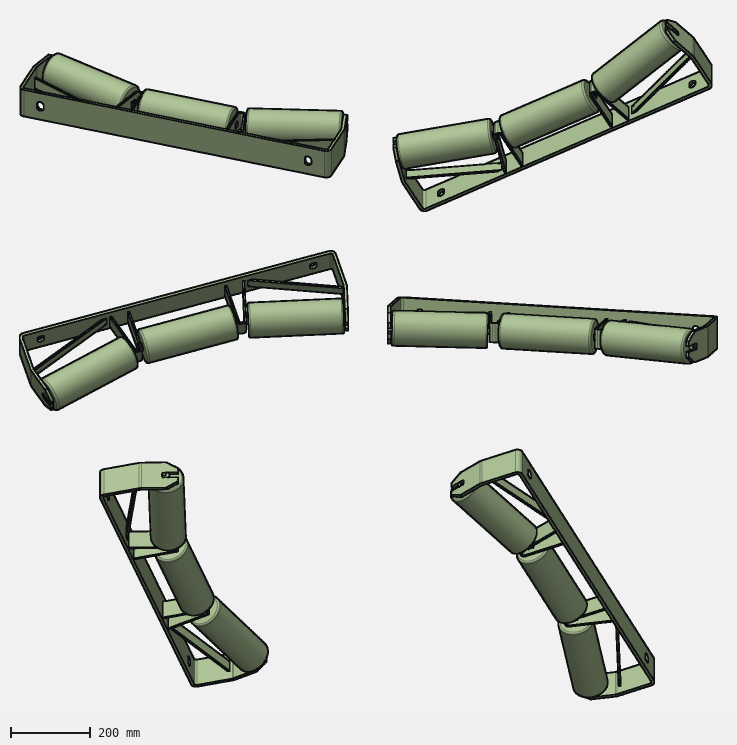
import cadquery as cq
import math


frame_length = 830.0
frame_width = 80.0
frame_thickness = 8.0
frame_corner_radius = 6.0
arm_bend_y = 108.5
arm_bend_radius = 14.0
arm_tip_y = 201.0
tip_chamfer_along = 30.0
tip_chamfer_across = 20.0
mount_slot_x = 357.5
mount_slot_width = 18.0
mount_slot_length = 26.0

trough_angle = 15.0
roller_radius = 44.5
roller_length = 240.0
roller_edge_radius = 5.0
center_roller_y = 100.0
wing_roller_x = 272.0
wing_roller_y = 137.0
center_drop = 7.0
axle_radius = 10.0
axle_flat_width = 15.0

bracket_thickness = 5.0
bracket_bend_radius = 3.0
bracket_top_y = 125.0
bracket_gap = 5.0
bracket_width = 50.0

strut_thickness = 5.0
strut_width = 30.0
strut_angle = 22.5
strut_arm_y = 100.0

half_length = frame_length / 2
half_width = frame_width / 2
trough_cos = math.cos(math.radians(trough_angle))
trough_sin = math.sin(math.radians(trough_angle))
trough_tan = math.tan(math.radians(trough_angle))
arm_tip_x = half_length - (arm_tip_y - arm_bend_y) * trough_tan
leg_distance = roller_length / 2 + bracket_gap
inner_axle_end = leg_distance + bracket_thickness
outer_axle_end = (half_length - wing_roller_x) * trough_cos + (arm_bend_y - wing_roller_y) * trough_sin
wing_tilt = math.degrees(math.asin(center_drop / (inner_axle_end + outer_axle_end)))
wing_roller_z = -center_drop * outer_axle_end / (inner_axle_end + outer_axle_end)


def unit(start, end):
    length = math.dist(start, end)
    return (end[0] - start[0]) / length, (end[1] - start[1]) / length


def folded_strip(path, radii, thickness, width):
    """Bend a flat strip along path, its outer face; the material lies to the left of the path."""
    directions = [unit(a, b) for a, b in zip(path, path[1:])]
    befores = directions[:1] + directions
    afters = directions + directions[-1:]
    inner_path = []
    for (x, y), before, after in zip(path, befores, afters):
        reach = thickness / (1 + before[0] * after[0] + before[1] * after[1])
        inner_path.append((x - (before[1] + after[1]) * reach, y + (before[0] + after[0]) * reach))
    strip = cq.Workplane("XY").polyline(path + inner_path[::-1]).close().extrude(width / 2, both=True)
    for outer, inner, radius in zip(path[1:-1], inner_path[1:-1], radii):
        strip = strip.edges(cq.NearestToPointSelector((*outer, 0))).fillet(radius + thickness)
        strip = strip.edges(cq.NearestToPointSelector((*inner, 0))).fillet(radius)
    return strip


def mirrored(body):
    return body.mirror("YZ")


def place_wing(body):
    """Move a body built on the X axis to the axis of the -X roller."""
    tilted = body.rotate((0, 0, 0), (0, 1, 0), wing_tilt)
    turned = tilted.rotate((0, 0, 0), (0, 0, 1), -trough_angle)
    return turned.translate((-wing_roller_x, wing_roller_y, wing_roller_z))


def place_center(body):
    return body.translate((0, center_roller_y, -center_drop))


def make_axle(start, end):
    """Round axle along X with two flats."""
    rod = cq.Workplane("YZ").workplane(offset=start).circle(axle_radius).extrude(end - start)
    flats = cq.Workplane("XY").box(2 * (end - start), 2 * axle_radius, axle_flat_width)
    return rod.intersect(flats)


def make_roller(start, end):
    shell = cq.Workplane("YZ").workplane(offset=-roller_length / 2)
    shell = shell.circle(roller_radius).extrude(roller_length)
    shell = shell.edges().fillet(roller_edge_radius)
    return shell.union(make_axle(start, end))


wing_axle = place_wing(make_axle(-outer_axle_end, inner_axle_end))
center_axle = place_center(make_axle(-inner_axle_end, inner_axle_end))


def make_arm_slot():
    """Open slot that lets the outer end of the -X axle drop into the arm."""
    slot_length = 4 * frame_thickness
    slot = cq.Workplane("XY").box(slot_length, arm_tip_y, axle_flat_width, centered=(True, False, True))
    slot = slot.translate((-outer_axle_end, 0, 0))
    return place_wing(slot)


def make_tip_chamfers():
    """Two wedges that taper the tip of the -X arm, as a YZ profile cut along X."""
    run = tip_chamfer_along * trough_cos
    corner = [
        (arm_tip_y - run, half_width),
        (arm_tip_y + run, half_width - 2 * tip_chamfer_across),
        (arm_tip_y + run, half_width),
    ]
    wedge = cq.Workplane("YZ").polyline(corner).close().extrude(-half_length)
    return wedge.union(wedge.mirror("XY"))


def make_frame():
    path = [
        (-arm_tip_x, arm_tip_y),
        (-half_length, arm_bend_y),
        (-half_length, 0),
        (half_length, 0),
        (half_length, arm_bend_y),
        (arm_tip_x, arm_tip_y),
    ]
    radii = [arm_bend_radius, frame_corner_radius, frame_corner_radius, arm_bend_radius]
    frame = folded_strip(path, radii, frame_thickness, frame_width)
    arm_cut = make_tip_chamfers().union(make_arm_slot()).union(wing_axle)
    frame = frame.cut(arm_cut).cut(mirrored(arm_cut))
    mount_slots = (
        cq.Workplane("XZ")
        .pushPoints([(-mount_slot_x, 0), (mount_slot_x, 0)])
        .slot2D(mount_slot_length, mount_slot_width, 90)
        .extrude(-frame_thickness)
    )
    return frame.cut(mount_slots)


def make_bracket():
    """Bracket on the -X side, level with the center axle: an upright leg and a leaning leg."""

    def leaning_leg_x(y):
        return -wing_roller_x + (leg_distance + (y - wing_roller_y) * trough_sin) / trough_cos

    path = [
        (-leg_distance, 0),
        (-leg_distance, bracket_top_y),
        (leaning_leg_x(bracket_top_y), bracket_top_y),
        (leaning_leg_x(0), 0),
    ]
    radii = [bracket_bend_radius, bracket_bend_radius]
    bracket = folded_strip(path, radii, bracket_thickness, bracket_width)
    bracket = bracket.translate((0, 0, -center_drop))
    back_plate_zone = cq.Workplane("XY").box(frame_length, 2 * frame_thickness, frame_width)
    return bracket.cut(back_plate_zone).cut(wing_axle).cut(center_axle)


def make_strut():
    """Slanting flat bar from the -X arm to the back plate."""
    slope = math.radians(strut_angle)
    arm_face_x = -half_length + frame_thickness
    far_x = arm_face_x + (strut_arm_y - frame_thickness) / math.tan(slope)
    outline = [
        (arm_face_x, strut_arm_y),
        (far_x, frame_thickness),
        (far_x - strut_thickness / math.sin(slope), frame_thickness),
        (arm_face_x, strut_arm_y - strut_thickness / math.cos(slope)),
    ]
    return cq.Workplane("XY").polyline(outline).close().extrude(strut_width / 2, both=True)


frame = make_frame()
center_roller = place_center(make_roller(-inner_axle_end, inner_axle_end))
bodies = [frame.solids().val(), center_roller.solids().val()]
wing_roller = place_wing(make_roller(-outer_axle_end, inner_axle_end))
for body in (wing_roller, make_bracket(), make_strut()):
    bodies.append(body.solids().val())
    bodies.append(mirrored(body).solids().val())

result = cq.Compound.makeCompound(bodies)